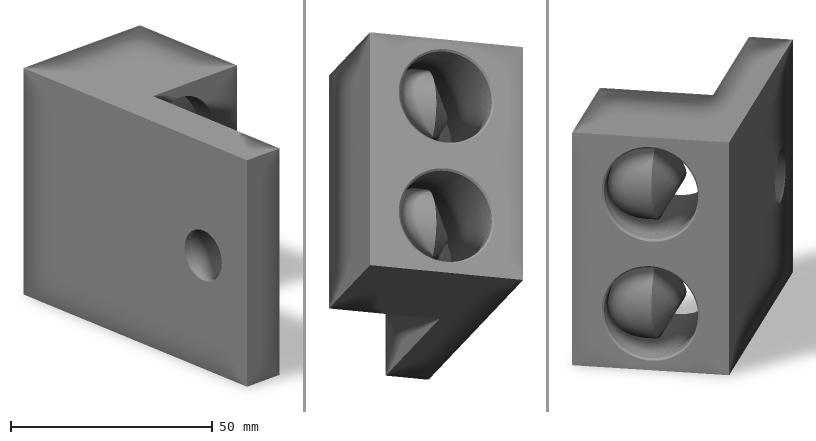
import cadquery as cq
import math

length = 81.0
depth = 39.8
height = 61.1
block_width = 35.15
flange_thickness = 11.1

mount_hole_diameter = 13.45
mount_hole_x = 65.1

bore_diameter = 23.8
bore_spacing = 31.3
bore_chamfer = 0.5
bore_y = depth / 2
bore_heights = [height / 2 - bore_spacing / 2, height / 2 + bore_spacing / 2]

screw_diameter = 23.8
screw_shank_length = 18.95
screw_point_angle = 120.0
screw_tip_radius = 3.0
screw_x = block_width / 2


def screw_profile():
    """Half section of a screw: radius along X, depth below the back face along Y."""
    radius = screw_diameter / 2
    half_angle = math.radians(screw_point_angle / 2)
    apex_depth = screw_shank_length + radius / math.tan(half_angle)
    tip_center_depth = apex_depth - screw_tip_radius / math.sin(half_angle)
    tip_depth = tip_center_depth + screw_tip_radius

    tangent_radius = screw_tip_radius * math.cos(half_angle)
    tangent_depth = tip_center_depth + screw_tip_radius * math.sin(half_angle)
    arc_angle = (math.pi / 2 - half_angle) / 2
    arc_middle = (
        screw_tip_radius * math.sin(arc_angle),
        tip_center_depth + screw_tip_radius * math.cos(arc_angle),
    )
    return (
        cq.Workplane("XY")
        .lineTo(radius, 0)
        .lineTo(radius, screw_shank_length)
        .lineTo(tangent_radius, tangent_depth)
        .threePointArc(arc_middle, (0, tip_depth))
        .close()
    )


def make_screw(z):
    """Pointed screw, flush with the back face and aimed along -Y."""
    return (
        screw_profile()
        .revolve(360, (0, 0, 0), (0, 1, 0))
        .rotate((0, 0, 0), (0, 0, 1), 180)
        .translate((screw_x, depth, z))
    )


def make_screw_hole(z):
    """Hole for the screw shank, from the back face to the end of the shank."""
    return (
        cq.Workplane("XZ", origin=(screw_x, depth, z))
        .circle(screw_diameter / 2)
        .extrude(screw_shank_length)
    )


def make_bore(z):
    """Bore through the block along X, stopping where the block ends, chamfered at the entry."""
    entry_radius = bore_diameter / 2 + bore_chamfer
    bore = cq.Workplane("YZ", origin=(0, bore_y, z)).circle(bore_diameter / 2).extrude(block_width)
    entry = cq.Solid.makeCone(
        entry_radius,
        bore_diameter / 2,
        bore_chamfer,
        pnt=cq.Vector(0, bore_y, z),
        dir=cq.Vector(1, 0, 0),
    )
    return bore.union(cq.Workplane(entry))


def make_housing():
    """L-shaped housing with its mounting hole, cable bores and screw holes."""
    housing = (
        cq.Workplane("XY")
        .polyline(
            [
                (0, 0),
                (length, 0),
                (length, flange_thickness),
                (block_width, flange_thickness),
                (block_width, depth),
                (0, depth),
            ]
        )
        .close()
        .extrude(height)
    )
    mount_hole = (
        cq.Workplane("XZ", origin=(mount_hole_x, flange_thickness, height / 2))
        .circle(mount_hole_diameter / 2)
        .extrude(flange_thickness)
    )
    housing = housing.cut(mount_hole)
    for z in bore_heights:
        housing = housing.cut(make_bore(z)).cut(make_screw_hole(z))
    return housing


housing = make_housing()
screws = [make_screw(z).val() for z in bore_heights]

result = cq.Compound.makeCompound([housing.val(), *screws])